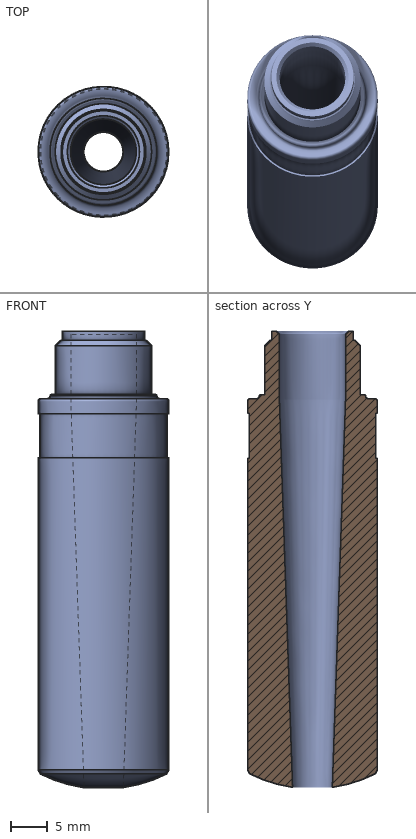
import cadquery as cq

total_height = 62.3
rim_bottom = 61.05
neck_top = 60.3
ring_top = 53.65
ring_mid = 53.45
cap_top = 53.1
cap_bottom = 51.0
body_top = 45.0
body_bottom = 2.4

rim_radius = 11.2 / 2
neck_chamfer_top_radius = 5.8
neck_radius = 13.15 / 2
ring_radius = 7.3
ring_round_width = 0.4
body_radius = 17.8 / 2
waist_radius = 17.4 / 2
cap_round = 0.4

dome_edge_radius = 8.6
dome_edge_height = 1.9
hole_radius = 5.35 / 2
dome_center_height = (dome_edge_radius**2 + dome_edge_height**2 - hole_radius**2) / (2 * dome_edge_height)
dome_radius = (hole_radius**2 + dome_center_height**2) ** 0.5
dome_mid_radius = (dome_edge_radius + hole_radius) / 2
dome_mid_height = dome_center_height - (dome_radius**2 - dome_mid_radius**2) ** 0.5

bore_radius = 9.0 / 2
mouth_chamfer = 0.45
taper_top = 52.95


def quarter_round_middle(flat_radius, flat_height, wall_radius, wall_height):
    """Middle of a quarter round that is horizontal at its flat end and vertical at its wall end."""
    diagonal = 0.5**0.5
    return (
        flat_radius + (wall_radius - flat_radius) * diagonal,
        wall_height + (flat_height - wall_height) * diagonal,
    )


profile = (
    cq.Workplane("XZ")
    .moveTo(hole_radius, 0)
    .threePointArc((dome_mid_radius, dome_mid_height), (dome_edge_radius, dome_edge_height))
    .lineTo(body_radius, body_bottom)
    .lineTo(body_radius, body_top)
    .lineTo(waist_radius, body_top)
    .lineTo(waist_radius, cap_bottom)
    .lineTo(body_radius, cap_bottom)
    .lineTo(body_radius, cap_top - cap_round)
    .threePointArc(quarter_round_middle(body_radius - cap_round, cap_top, body_radius, cap_top - cap_round),
                   (body_radius - cap_round, cap_top))
    .lineTo(ring_radius + ring_round_width, cap_top)
    .threePointArc(quarter_round_middle(ring_radius + ring_round_width, cap_top, ring_radius, ring_mid),
                   (ring_radius, ring_mid))
    .threePointArc(quarter_round_middle(ring_radius - ring_round_width, ring_top, ring_radius, ring_mid),
                   (ring_radius - ring_round_width, ring_top))
    .lineTo(neck_radius, ring_top)
    .lineTo(neck_radius, neck_top)
    .lineTo(neck_chamfer_top_radius, rim_bottom)
    .lineTo(rim_radius, rim_bottom)
    .lineTo(rim_radius, total_height)
    .lineTo(bore_radius + mouth_chamfer, total_height)
    .lineTo(bore_radius, total_height - mouth_chamfer)
    .lineTo(bore_radius, taper_top)
    .lineTo(hole_radius, 0)
    .close()
)

result = profile.revolve(360, (0, 0, 0), (0, 1, 0))